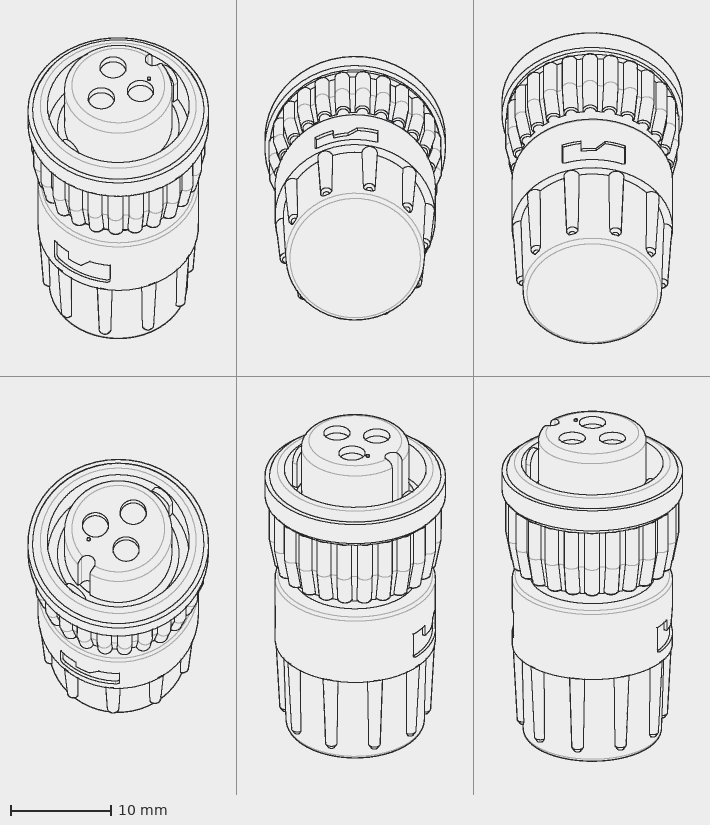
import cadquery as cq
import math

total_height = 33.53
core_top = 33.4
ring_top = 30.05
flange_top = 29.25
flange_bottom = 27.0
grip_top = 26.5
grip_taper_start = 22.4
grip_bottom = 19.15
collar_top = 17.45
collar_bottom = 9.85
body_rib_bottom = 1.7

core_radius = 5.35
ring_bore_radius = 7.07
ring_radius = 8.55
flange_radius = 9.02
neck_radius = 6.2
collar_radius = 8.0
body_top_radius = 7.18
body_base_radius = 6.9

core_round = 0.75
ring_round = 0.77
collar_round = 0.3
base_round = 0.4

socket_floor = 25.9
seal_radius = 5.55
seal_section_radius = 0.5
seal_height = socket_floor + seal_section_radius

key_width = 2.4
key_top = 29.85
key_inner_face = 6.45

contact_count = 3
contact_circle_radius = 2.3
contact_radius = 1.3
contact_depth = 0.85
keyway_width = 1.58
keyway_inner_end = 4.0
dot_x = 1.5
dot_y = 2.78
dot_radius = 0.17

grip_rib_count = 24
grip_rib_radius = 0.75
grip_radius = 8.65
grip_tip_radius = 8.05
grip_tip_round = 0.17
grip_valley_depth = 0.67

body_rib_count = 10
body_rib_top_radius = 0.77
body_rib_bottom_radius = 0.587
body_rib_tip_radius = 0.35
body_rib_tip_length = 0.4

pocket_depth = 0.3
pocket_left = -0.77
pocket_right = 5.25
pocket_bottom = 11.1
pocket_top = 13.98
pocket_round = 0.4
tab_bottom = 12.8
tab_left = 1.17
tab_bottom_right = 2.65
tab_top_right = 3.52


def cylinder(radius, bottom, top):
    return cq.Workplane("XY").workplane(offset=bottom).circle(radius).extrude(top - bottom)


def around_axis(shape, count):
    """List of copies of a shape spread evenly around the Z axis."""
    copies = cq.Workplane("XY")
    for index in range(count):
        copies = copies.add(shape.rotate((0, 0, 0), (0, 0, 1), index * 360 / count))
    return copies.vals()


def fuse_all(body, shapes):
    return cq.Workplane(obj=body.val().fuse(*shapes))


def body_radius_at(height):
    """Radius of the tapered lower body."""
    return body_base_radius + (body_top_radius - body_base_radius) * height / collar_bottom


def make_lower_body():
    return (
        cq.Workplane("XY").circle(body_base_radius)
        .workplane(offset=collar_bottom).circle(body_top_radius).loft()
        .faces("<Z").edges().fillet(base_round)
    )


def make_body_rib():
    """Tapered half-round rib whose axis lies on the body surface, with a beveled lower tip."""
    tip_bottom = body_rib_bottom - body_rib_tip_length
    axis_radius = body_radius_at(body_rib_bottom)
    rib = (
        cq.Workplane("XY", origin=(0, -axis_radius, body_rib_bottom)).circle(body_rib_bottom_radius)
        .workplane(offset=collar_bottom - body_rib_bottom)
        .center(0, axis_radius - body_top_radius).circle(body_rib_top_radius).loft()
    )
    tip = (
        cq.Workplane("XY", origin=(0, -axis_radius, tip_bottom)).circle(body_rib_tip_radius)
        .workplane(offset=body_rib_tip_length).circle(body_rib_bottom_radius).loft()
    )
    return rib.union(tip).val()


def make_pocket():
    """Latch outline with radial side walls, cut to a constant depth in the collar."""
    outline = [
        (pocket_left, pocket_bottom), (pocket_right, pocket_bottom), (pocket_right, pocket_top),
        (tab_top_right, pocket_top), (tab_bottom_right, tab_bottom), (tab_left, tab_bottom),
        (tab_left, pocket_top), (pocket_left, pocket_top),
    ]

    def outline_at(distance):
        return [(distance * math.tan(math.asin(x / collar_radius)), z) for x, z in outline]

    near = collar_radius / 2
    far = collar_radius * 1.25
    wedge = (
        cq.Workplane("XZ").workplane(offset=near).polyline(outline_at(near)).close()
        .workplane(offset=far - near).polyline(outline_at(far)).close().loft(ruled=True)
    )
    lower_corners = wedge.faces("<Z").edges().edges("<X or >X")
    wedge = wedge.newObject(lower_corners.vals()).fillet(pocket_round)
    return wedge.cut(cylinder(collar_radius - pocket_depth, 0, total_height)).val()


def make_collar():
    collar = cylinder(collar_radius, collar_bottom, collar_top).faces(">Z").edges().fillet(collar_round)
    for pocket in around_axis(make_pocket(), 2):
        collar = collar.cut(cq.Workplane(obj=pocket))
    return collar


def make_grip_core():
    """Turned core of the grip at the depth of the valleys between its ribs."""
    valley_radius = grip_radius - grip_valley_depth
    tip_valley_radius = grip_tip_radius - grip_valley_depth
    return (
        cq.Workplane("XZ")
        .moveTo(0, grip_bottom)
        .lineTo(tip_valley_radius, grip_bottom)
        .lineTo(valley_radius, grip_taper_start)
        .lineTo(valley_radius, grip_top)
        .lineTo(0, grip_top)
        .close().revolve(360, (0, 0, 0), (0, 1, 0))
    )


def make_grip_rib():
    """Round rib running straight down and then leaning inward along the taper."""
    axis_radius = grip_radius - grip_rib_radius
    tip_axis_radius = grip_tip_radius - grip_rib_radius
    straight = cylinder(grip_rib_radius, grip_taper_start, grip_top).translate((0, -axis_radius, 0))
    leaning = (
        cq.Workplane("XY", origin=(0, -tip_axis_radius, grip_bottom)).circle(grip_rib_radius)
        .workplane(offset=grip_taper_start - grip_bottom)
        .center(0, tip_axis_radius - axis_radius).circle(grip_rib_radius).loft()
        .faces("<Z").edges().chamfer(grip_tip_round)
    )
    return straight.union(leaning).val()


def make_grip():
    return fuse_all(make_grip_core(), around_axis(make_grip_rib(), grip_rib_count))


def make_head():
    """Rounded ring with the flange around it."""
    ring = cylinder(ring_radius, grip_top, ring_top).faces(">Z").edges().fillet(ring_round)
    return ring.union(cylinder(flange_radius, flange_bottom, flange_top))


def make_key():
    """Round-topped key standing on the socket floor against the bore."""
    half_width = key_width / 2
    outer_face = (ring_bore_radius + ring_radius) / 2
    return (
        cq.Workplane("XZ").workplane(offset=key_inner_face)
        .moveTo(-half_width, socket_floor)
        .lineTo(-half_width, key_top - half_width)
        .threePointArc((0, key_top), (half_width, key_top - half_width))
        .lineTo(half_width, socket_floor)
        .close().extrude(outer_face - key_inner_face)
    ).val()


def make_keyway():
    """Slot with a round inner end, open toward +Y and running down to the sealing ring."""
    half_width = keyway_width / 2
    round_center = keyway_inner_end + half_width
    return (
        cq.Workplane("XY").workplane(offset=seal_height)
        .moveTo(-half_width, ring_bore_radius)
        .lineTo(-half_width, round_center)
        .threePointArc((0, keyway_inner_end), (half_width, round_center))
        .lineTo(half_width, ring_bore_radius)
        .close().extrude(total_height - seal_height)
    )


def make_core():
    core = cylinder(core_radius, socket_floor, core_top).faces(">Z").edges().fillet(core_round)
    contacts = (
        cq.Workplane("XY").workplane(offset=core_top)
        .polarArray(contact_circle_radius, -90, 360, contact_count)
        .circle(contact_radius).extrude(-contact_depth)
    )
    core = core.cut(contacts).cut(make_keyway())
    seal = cq.Solid.makeTorus(seal_radius, seal_section_radius, cq.Vector(0, 0, seal_height))
    dot = cylinder(dot_radius, core_top - contact_depth, total_height).translate((dot_x, dot_y, 0))
    return core.union(cq.Workplane(obj=seal)).union(dot)


result = make_lower_body()
result = fuse_all(result, around_axis(make_body_rib(), body_rib_count))
result = result.union(make_collar())
result = result.union(cylinder(neck_radius, collar_top, grip_bottom))
result = result.union(make_grip()).union(make_head())
result = result.cut(cylinder(ring_bore_radius, socket_floor, total_height))
result = fuse_all(result, around_axis(make_key(), 2)).union(make_core())